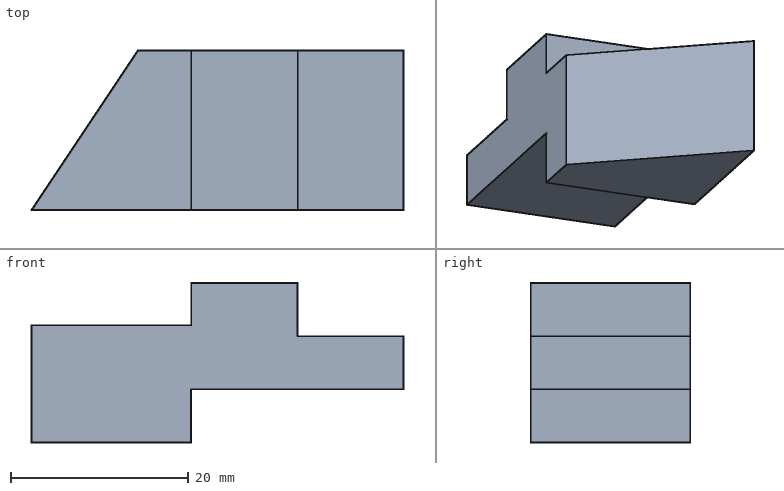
import cadquery as cq

length = 42.0
width = 18.0
height = 18.0

block_length = 18.0
block_top = 13.27
ridge_length = 12.0
tab_bottom = 6.0
tab_thickness = 6.0

slant_run = 12.0

ridge_end = block_length + ridge_length
tab_top = tab_bottom + tab_thickness

body = (
    cq.Workplane("XZ")
    .moveTo(0, 0)
    .lineTo(block_length, 0)
    .lineTo(block_length, tab_bottom)
    .lineTo(length, tab_bottom)
    .lineTo(length, tab_top)
    .lineTo(ridge_end, tab_top)
    .lineTo(ridge_end, height)
    .lineTo(block_length, height)
    .lineTo(block_length, block_top)
    .lineTo(0, block_top)
    .close()
    .extrude(-width)
)

wedge = (
    cq.Workplane("XY")
    .polyline([(0, 0), (slant_run, width), (0, width)])
    .close()
    .extrude(height)
)

result = body.cut(wedge)